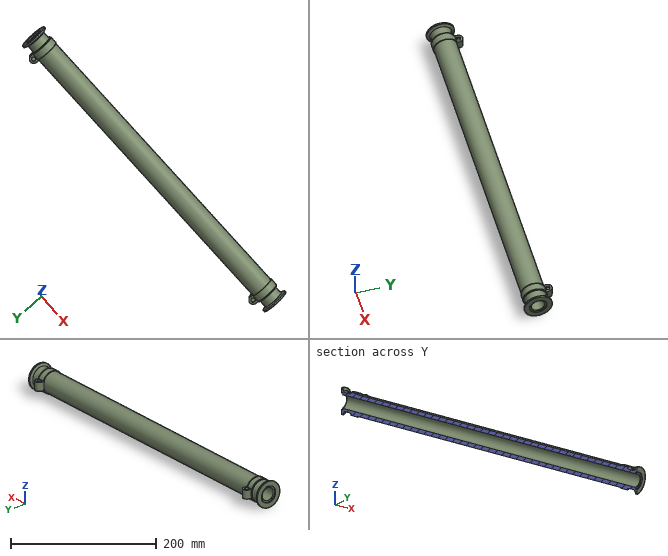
import cadquery as cq

length = 500.0
tube_radius = 16.5
bore_radius = 9.75
counterbore_radius = 12.5
counterbore_depth = 2.0

flange_radius = 20.0
flange_rim = 2.5
flange_depth = 4.25
neck_radius = 14.5
neck_fillet = 1.5
collar_start = 15.5
collar_end = 27.5
collar_radius = 17.5
collar_chamfer = 1.5

port_from_end = 23.0
port_reach = 26.0
port_radius = 6.0
port_height = 13.5
pocket_radius = port_radius / 2
pocket_depth = 3.0

half_length = length / 2
port_nose_y = port_reach - port_radius
port_root_y = (bore_radius + tube_radius) / 2


def end_fitting():
    """Solid flange, neck and collar at the -X end, revolved about the tube axis."""
    profile = (
        cq.Workplane("XZ")
        .lineTo(0, flange_radius)
        .lineTo(flange_rim, flange_radius)
        .lineTo(flange_depth, neck_radius + neck_fillet)
        .radiusArc((flange_depth + neck_fillet, neck_radius), -neck_fillet)
        .lineTo(collar_start - neck_fillet, neck_radius)
        .radiusArc((collar_start, neck_radius + neck_fillet), -neck_fillet)
        .lineTo(collar_start + collar_chamfer, collar_radius)
        .lineTo(collar_end, collar_radius)
        .lineTo(collar_end, 0)
        .close()
    )
    fitting = profile.revolve(360, (0, 0, 0), (1, 0, 0))
    return fitting.translate((-half_length, 0, 0))


def side_port():
    """Round-nosed block at the -X end with a blind round pocket in its top and bottom faces."""
    block = (
        cq.Workplane("XY")
        .moveTo(-port_radius, port_root_y)
        .lineTo(-port_radius, port_nose_y)
        .threePointArc((0, port_reach), (port_radius, port_nose_y))
        .lineTo(port_radius, port_root_y)
        .close()
        .extrude(port_height / 2, both=True)
    )
    upper_pocket = (
        cq.Workplane("XY", origin=(0, port_nose_y, port_height / 2))
        .circle(pocket_radius)
        .extrude(-pocket_depth)
    )
    block = block.cut(upper_pocket).cut(upper_pocket.mirror("XY"))
    return block.translate((port_from_end - half_length, 0, 0))


def cylinder_along_x(start_x, radius, depth):
    """Cylinder on the tube axis, running toward +X from start_x."""
    return cq.Workplane("YZ", origin=(start_x, 0, 0)).circle(radius).extrude(depth)


tube = cylinder_along_x(collar_start - half_length, tube_radius, length - 2 * collar_start)
left_end = end_fitting().union(side_port())
body = tube.union(left_end).union(left_end.mirror("YZ"))

bore = cylinder_along_x(-half_length, bore_radius, length)
counterbore = cylinder_along_x(-half_length, counterbore_radius, counterbore_depth)
result = body.cut(bore).cut(counterbore).cut(counterbore.mirror("YZ"))